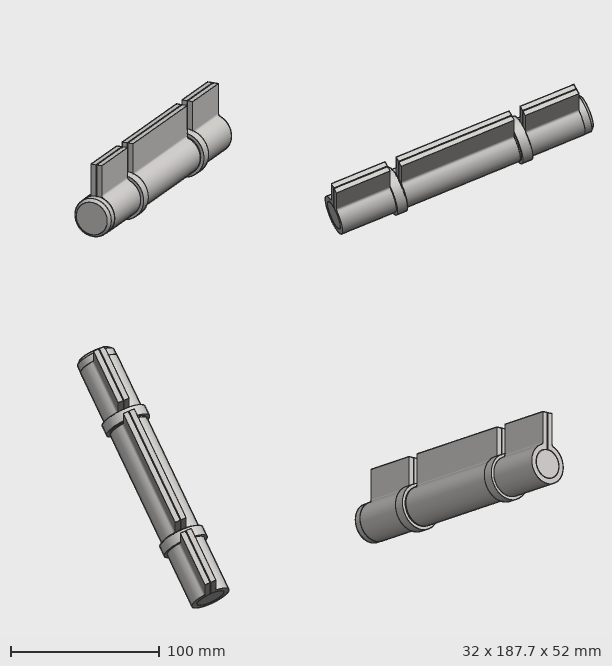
import cadquery as cq
import math

total_length = 187.7
y_front = -total_length / 2
y_back = total_length / 2

pin_dia = 19.7
head_dia = 27.2
head_length = 7.1
head_chamfer = 2.0

pin_bore = 20.0

collar_dia = 32.0
collar_width = 7.3
hub_dia = 27.2
hub_width = 1.0

barrel_dia = 27.5
slit_width = 0.5
root_fillet = 2.0
hinge_height = 52.0
end_leaf_length = 40.0

strip_thickness = (barrel_dia - pin_bore) / 2
flap_width = 2 * strip_thickness + slit_width
flap_top = hinge_height - collar_dia / 2

front_leaf_y = y_front + head_length
front_collar_y = front_leaf_y + end_leaf_length
middle_leaf_y = front_collar_y + collar_width + hub_width
back_leaf_y = y_back - end_leaf_length
back_collar_y = back_leaf_y - collar_width
middle_leaf_length = back_collar_y - hub_width - middle_leaf_y


def cylinder(dia, y_start, length):
    """Cylinder on the hinge axis, growing toward +Y from y_start."""
    return cq.Workplane("XZ", origin=(0, y_start, 0)).circle(dia / 2).extrude(-length)


def make_pin():
    """Full-length pin with a chamfered head at the -Y end."""
    head = cylinder(head_dia, y_front, head_length).faces("<Y").chamfer(head_chamfer)
    return head.union(cylinder(pin_dia, front_leaf_y, y_back - front_leaf_y))


def make_collar(y_start, hub_y):
    """Ring with a thin hub that bears on the middle leaf."""
    ring = cylinder(collar_dia, y_start, collar_width)
    hub = cylinder(hub_dia, hub_y, hub_width)
    bore_y = min(y_start, hub_y)
    return ring.union(hub).cut(cylinder(pin_bore, bore_y, collar_width + hub_width))


def make_leaf(y_start, length):
    """Barrel round the pin with two upright flaps, filleted at the root."""
    barrel_radius = barrel_dia / 2
    flap_x = flap_width / 2

    fillet_x = flap_x + root_fillet
    fillet_z = math.sqrt((barrel_radius + root_fillet) ** 2 - fillet_x**2)
    to_barrel = barrel_radius / (barrel_radius + root_fillet)
    root_x = fillet_x * to_barrel
    root_z = fillet_z * to_barrel

    profile = (
        cq.Workplane("XZ", origin=(0, y_start, 0))
        .moveTo(-flap_x, flap_top)
        .lineTo(flap_x, flap_top)
        .lineTo(flap_x, fillet_z)
        .radiusArc((root_x, root_z), -root_fillet)
        .threePointArc((0, -barrel_radius), (-root_x, root_z))
        .radiusArc((-flap_x, fillet_z), -root_fillet)
        .close()
    )
    slit = (
        cq.Workplane("XZ", origin=(0, y_start, 0))
        .center(0, flap_top / 2)
        .rect(slit_width, flap_top)
        .extrude(-length)
    )
    return profile.extrude(-length).cut(slit).cut(cylinder(pin_bore, y_start, length))


pin = make_pin()

collars = [
    make_collar(front_collar_y, front_collar_y + collar_width),
    make_collar(back_collar_y, back_collar_y - hub_width),
]

leaves = [
    make_leaf(y_start, length)
    for y_start, length in (
        (front_leaf_y, end_leaf_length),
        (middle_leaf_y, middle_leaf_length),
        (back_leaf_y, end_leaf_length),
    )
]

result = cq.Compound.makeCompound(
    [
        pin.val(),
        *[collar.val() for collar in collars],
        *[leaf.val() for leaf in leaves],
    ]
)